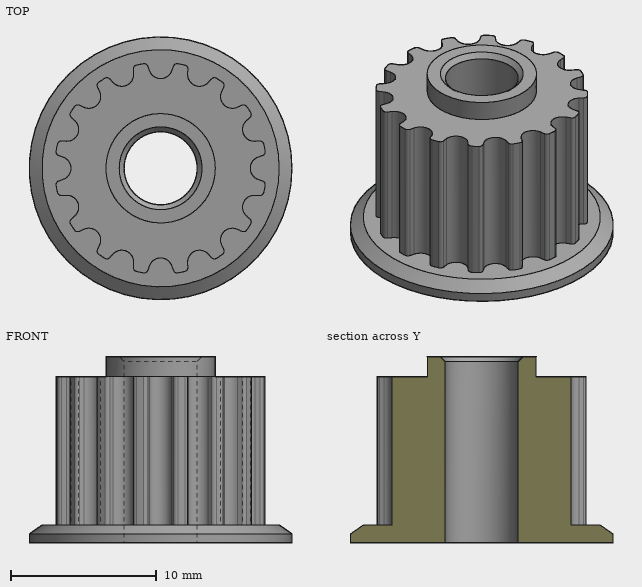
import cadquery as cq
import math

flange_diameter = 18.03
flange_top_diameter = 16.26
flange_height = 1.25
flange_rim_height = 0.63

tooth_count = 16
barrel_diameter = 14.53
barrel_top = 11.41
root_diameter = 12.3
groove_radius = 0.81
flank_angle = math.radians(20)
tooth_tip_fillet = 0.27

hub_diameter = 7.5
hub_top = 12.78
bore_diameter = 5.0
bore_mouth_diameter = 5.68
bore_mouth_angle = 90

barrel_radius = barrel_diameter / 2
barrel_height = barrel_top - flange_height


def make_flange():
    return (
        cq.Workplane("XZ")
        .lineTo(flange_diameter / 2, 0)
        .lineTo(flange_diameter / 2, flange_rim_height)
        .lineTo(flange_top_diameter / 2, flange_height)
        .lineTo(0, flange_height)
        .close()
        .revolve(360, (0, 0, 0), (0, 1, 0))
    )


def make_groove_cutter():
    """Cutter for the groove on +X: a round root with tangent flanks that flare outwards."""
    root_x = root_diameter / 2
    flank_start_x = root_x + groove_radius * (1 - math.sin(flank_angle))
    flank_start_y = groove_radius * math.cos(flank_angle)
    mouth_x = barrel_radius + groove_radius
    mouth_y = flank_start_y + (mouth_x - flank_start_x) * math.tan(flank_angle)
    return (
        cq.Workplane("XY", origin=(0, 0, flange_height))
        .moveTo(mouth_x, -mouth_y)
        .lineTo(flank_start_x, -flank_start_y)
        .threePointArc((root_x, 0), (flank_start_x, flank_start_y))
        .lineTo(mouth_x, mouth_y)
        .close()
        .extrude(barrel_height)
    )


def is_tooth_tip(edge):
    """True for an upright edge that lies on the outer cylinder of the barrel."""
    centre = edge.Center()
    return math.isclose(math.hypot(centre.x, centre.y), barrel_radius, rel_tol=1e-4)


def make_barrel():
    barrel = (
        cq.Workplane("XY", origin=(0, 0, flange_height))
        .circle(barrel_radius)
        .extrude(barrel_height)
    )
    groove_cutter = make_groove_cutter()
    for groove in range(tooth_count):
        angle = groove * 360 / tooth_count
        barrel = barrel.cut(groove_cutter.rotate((0, 0, 0), (0, 0, 1), angle))

    tip_edges = [edge for edge in barrel.edges("|Z").vals() if is_tooth_tip(edge)]
    return barrel.newObject(tip_edges).fillet(tooth_tip_fillet)


def make_hub():
    return cq.Workplane("XY").circle(hub_diameter / 2).extrude(hub_top)


pulley = make_flange().union(make_barrel()).union(make_hub())

result = (
    pulley.faces(">Z")
    .workplane()
    .cskHole(bore_diameter, bore_mouth_diameter, bore_mouth_angle)
)